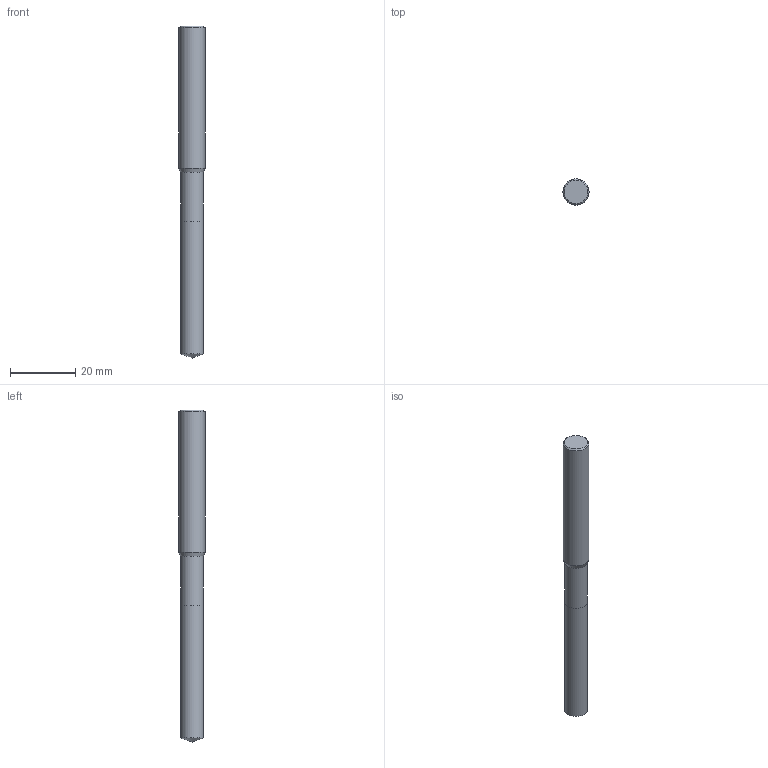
import cadquery as cq
import math

overall_length = 102.0
shank_diameter = 8.0
drill_diameter = 7.0
point_angle = 140.0
cutter_length = 42.0
shank_length = 43.7
shoulder_half_angle = 21.0
end_chamfer = 0.4

shank_radius = shank_diameter / 2
drill_radius = drill_diameter / 2
point_height = drill_radius / math.tan(math.radians(point_angle / 2))
shank_bottom = overall_length - shank_length
shoulder_height = (shank_radius - drill_radius) / math.tan(math.radians(shoulder_half_angle))
shoulder_bottom = shank_bottom - shoulder_height


def revolve_profile(points):
    """Turn a closed (radius, height) half profile about the Z axis."""
    return cq.Workplane("XZ").polyline(points).close().revolve(360, (0, 0), (0, 1))


def make_cutter():
    """Cylindrical cutting end with a conical point."""
    return revolve_profile([
        (0, 0),
        (drill_radius, point_height),
        (drill_radius, cutter_length),
        (0, cutter_length),
    ])


def make_holder():
    """Shank with a chamfered end, stepping down through a conical shoulder to the neck."""
    return revolve_profile([
        (0, cutter_length),
        (drill_radius, cutter_length),
        (drill_radius, shoulder_bottom),
        (shank_radius, shank_bottom),
        (shank_radius, overall_length - end_chamfer),
        (shank_radius - end_chamfer, overall_length),
        (0, overall_length),
    ])


cutter = make_cutter()
holder = make_holder()

result = cq.Compound.makeCompound([cutter.val(), holder.val()])